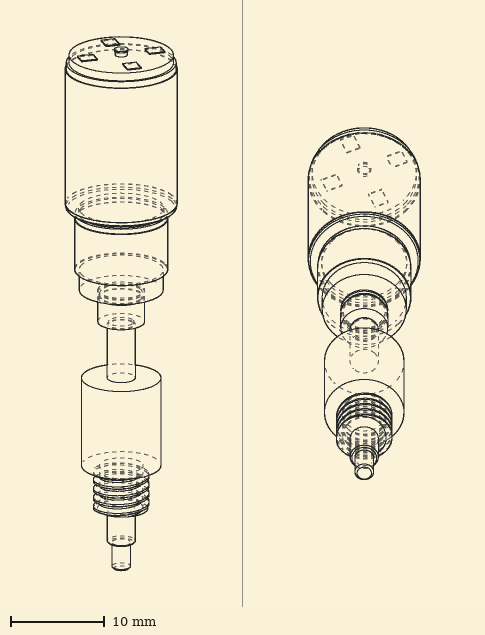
import cadquery as cq
import math

total_height = 59.15
cap_top = 58.5
sleeve_top = 57.6
sleeve_body_top = 56.9
sleeve_body_bottom = 41.6
sleeve_bottom = 41.05
barrel_ring_top = 40.45
barrel_top = 39.9
barrel_bottom = 34.0
skirt_bottom = 31.7
collar_groove_top = 31.45
collar_groove_bottom = 31.0
collar_bottom = 28.1
shaft_top = 27.8
body_top = 21.7
body_bottom = 11.7
thread_top = 11.05
thread_bottom = 6.7
shaft_bottom = 2.95

button_diameter = 1.5
button_neck_diameter = 1.3
cap_diameter = 11.2
sleeve_rim_diameter = 11.8
sleeve_foot_diameter = 11.9
sleeve_diameter = 12.0
barrel_neck_diameter = 9.1
barrel_diameter = 10.0
skirt_diameter = 9.0
collar_diameter = 5.0
collar_groove_diameter = 4.5
shaft_neck_diameter = 2.7
shaft_diameter = 3.0
body_diameter = 8.5
thread_root_diameter = 4.7
thread_diameter = 6.0
tip_diameter = 2.0

button_thickness = 0.2
sleeve_chamfer = 0.2
barrel_chamfer = 0.05
collar_chamfer = 0.1
shaft_chamfer = 0.2
tip_chamfer = 0.25

pad_count = 4
pad_radial_length = 1.8
pad_width = 1.55
pad_height = 0.1
pad_circle_radius = 3.8
first_pad_angle = 45

thread_pitch = 1.0
thread_crest_width = 0.25
thread_base_width = 0.9
thread_embed = 0.1
thread_crest_height = 6.9

def cylinder(diameter, bottom, top):
    """Upright cylinder on the main axis between two heights."""
    return cq.Workplane("XY").workplane(offset=bottom).circle(diameter / 2).extrude(top - bottom)

def button():
    button_bottom = total_height - button_thickness
    neck = cylinder(button_neck_diameter, cap_top, button_bottom)
    return neck.union(cylinder(button_diameter, button_bottom, total_height))

def sleeve():
    rim = cylinder(sleeve_rim_diameter, sleeve_body_top, sleeve_top)
    main = cylinder(sleeve_diameter, sleeve_body_bottom, sleeve_body_top)
    foot = cylinder(sleeve_foot_diameter, sleeve_bottom, sleeve_body_bottom)
    foot = foot.faces("<Z").chamfer(sleeve_chamfer)
    cap = cylinder(cap_diameter, sleeve_top, cap_top)
    return cap.union(rim).union(main).union(foot)

def barrel():
    neck = cylinder(barrel_neck_diameter, barrel_ring_top, sleeve_bottom)
    ring = cylinder(barrel_diameter - 2 * barrel_chamfer, barrel_top, barrel_ring_top)
    main = cylinder(barrel_diameter, barrel_bottom, barrel_top)
    main = main.faces("<Z or >Z").chamfer(barrel_chamfer)
    skirt = cylinder(skirt_diameter, skirt_bottom, barrel_bottom)
    return neck.union(ring).union(main).union(skirt)

def collar():
    upper = cylinder(collar_diameter, collar_groove_top, skirt_bottom)
    groove = cylinder(collar_groove_diameter, collar_groove_bottom, collar_groove_top)
    lower = cylinder(collar_diameter, collar_bottom, collar_groove_bottom)
    lower = lower.faces(">Z").chamfer(collar_chamfer)
    return upper.union(groove).union(lower)

def lower_shaft():
    neck = cylinder(shaft_neck_diameter, shaft_top, collar_bottom)
    shaft = cylinder(shaft_diameter, shaft_bottom, shaft_top).faces("<Z").chamfer(shaft_chamfer)
    body = cylinder(body_diameter, body_bottom, body_top)
    tip = cylinder(tip_diameter, 0, shaft_bottom).faces("<Z").chamfer(tip_chamfer)
    return neck.union(shaft).union(body).union(tip)

def thread():
    """Helical ridge on its core, cut flat at both ends."""
    root_radius = thread_root_diameter / 2
    inner_radius = root_radius - thread_embed
    crest_radius = thread_diameter / 2
    start = thread_crest_height - thread_pitch
    turns = math.ceil((thread_top - start) / thread_pitch) + 1
    path = cq.Wire.makeHelix(thread_pitch, turns * thread_pitch, root_radius)
    ridge = (
        cq.Workplane("XZ")
        .polyline([
            (inner_radius, -thread_base_width / 2),
            (crest_radius, -thread_crest_width / 2),
            (crest_radius, thread_crest_width / 2),
            (inner_radius, thread_base_width / 2),
        ])
        .close()
        .sweep(cq.Workplane(path), isFrenet=True)
        .rotate((0, 0, 0), (0, 0, 1), 180)
        .translate((0, 0, start))
    )
    ridge = ridge.intersect(cylinder(sleeve_diameter, thread_bottom, thread_top))
    return cylinder(thread_root_diameter, thread_bottom, body_bottom).union(ridge)

def pads():
    return (
        cq.Workplane("XY")
        .workplane(offset=cap_top)
        .polarArray(pad_circle_radius, first_pad_angle, 360, pad_count)
        .rect(pad_radial_length, pad_width)
        .extrude(pad_height)
    )

result = sleeve().union(button()).union(pads()).union(barrel())
result = result.union(collar()).union(lower_shaft()).union(thread())